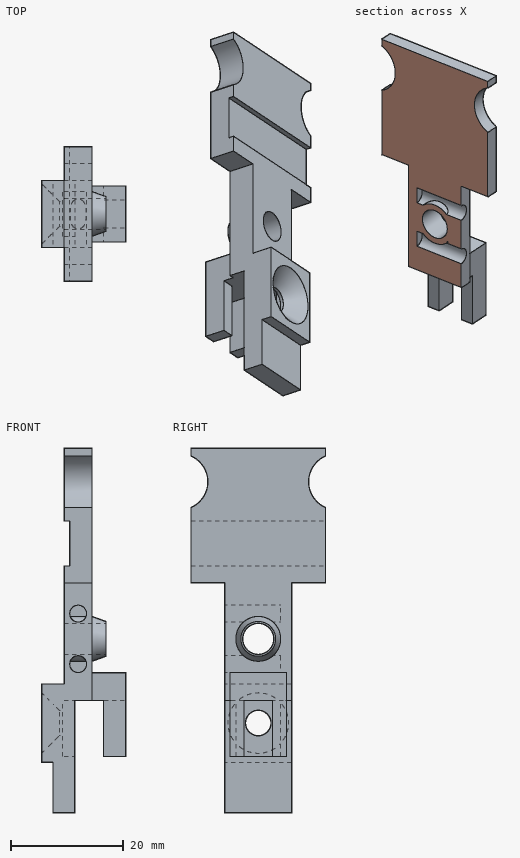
import cadquery as cq

total_height = 65.0
total_depth = 15.0

plate_x = 4.0
plate_thickness = 5.0
plate_back = plate_x + plate_thickness
stem_width = 12.0
head_width = 24.0
head_bottom = 41.0
bridge_bottom = 20.0

groove_bottom = 44.0
groove_top = 52.0
groove_depth = 1.0
notch_radius = 5.0
notch_center_z = 59.0
notch_center_offset = head_width / 2 + 2.0

leg_back = 5.9
foot_front = 2.0
foot_top = 9.0
block_top = 23.0

hook_width = 10.0
hook_bottom = 10.0
hook_top = 25.0
prong_front = 11.0
slot_width = 5.0

screw_z = 16.0
screw_diameter = 4.5
countersink_diameter = 10.8
countersink_depth = (countersink_diameter - screw_diameter) / 2

pocket_width = 8.0
pocket_floor = 3.75

nozzle_z = 31.0
nozzle_diameter = 8.0
nozzle_tip_diameter = 6.2
nozzle_tip_length = 2.5
nozzle_bore = 5.5

cross_hole_diameter = 3.0
cross_hole_offset = 4.5
cross_hole_depth = 10.0


def box(x_min, x_max, width, z_min, z_max):
    """Box centered on Y = 0."""
    size = (x_max - x_min, width, z_max - z_min)
    return cq.Workplane("XY").box(*size, centered=(False, True, False)).translate((x_min, 0, z_min))


def rod(x_start, length, diameter, y, z):
    """Cylinder along +X."""
    return cq.Workplane("YZ", origin=(x_start, y, z)).circle(diameter / 2).extrude(length)


def cone(x_start, length, start_diameter, end_diameter, z):
    """Truncated cone along +X on the plane of symmetry."""
    return cq.Workplane(
        cq.Solid.makeCone(
            start_diameter / 2,
            end_diameter / 2,
            length,
            pnt=cq.Vector(x_start, 0, z),
            dir=cq.Vector(1, 0, 0),
        )
    )


def make_head():
    head = box(plate_x, plate_back, head_width, head_bottom, total_height)
    head = head.cut(box(plate_x, plate_x + groove_depth, head_width, groove_bottom, groove_top))
    for side in (-1, 1):
        notch_y = side * notch_center_offset
        head = head.cut(rod(plate_x, plate_thickness, 2 * notch_radius, notch_y, notch_center_z))
    return head


def make_stem():
    stem = box(plate_x, plate_back, stem_width, bridge_bottom, head_bottom)
    for side in (-1, 1):
        entry = (plate_x + plate_thickness / 2, -stem_width / 2, nozzle_z + side * cross_hole_offset)
        hole = cq.Workplane("XZ", origin=entry).circle(cross_hole_diameter / 2).extrude(-cross_hole_depth)
        stem = stem.cut(hole)
    return stem


def make_leg():
    leg = box(0, leg_back, stem_width, foot_top, block_top)
    leg = leg.union(box(foot_front, leg_back, stem_width, 0, foot_top))
    leg = leg.cut(rod(0, leg_back, screw_diameter, 0, screw_z))
    leg = leg.cut(box(pocket_floor, leg_back, pocket_width, hook_bottom, bridge_bottom))
    return leg.cut(cone(0, countersink_depth, countersink_diameter, screw_diameter, screw_z))


def make_hook():
    hook = box(plate_back, total_depth, hook_width, bridge_bottom, hook_top)
    hook = hook.union(box(prong_front, total_depth, hook_width, hook_bottom, bridge_bottom))
    return hook.cut(box(prong_front, total_depth, slot_width, hook_bottom, bridge_bottom))


def add_nozzle(body):
    body = body.union(rod(plate_x, plate_thickness, nozzle_diameter, 0, nozzle_z))
    body = body.union(cone(plate_back, nozzle_tip_length, nozzle_diameter, nozzle_tip_diameter, nozzle_z))
    return body.cut(rod(plate_x, plate_thickness + nozzle_tip_length, nozzle_bore, 0, nozzle_z))


body = make_stem().union(make_head()).union(make_leg()).union(make_hook())
result = add_nozzle(body)